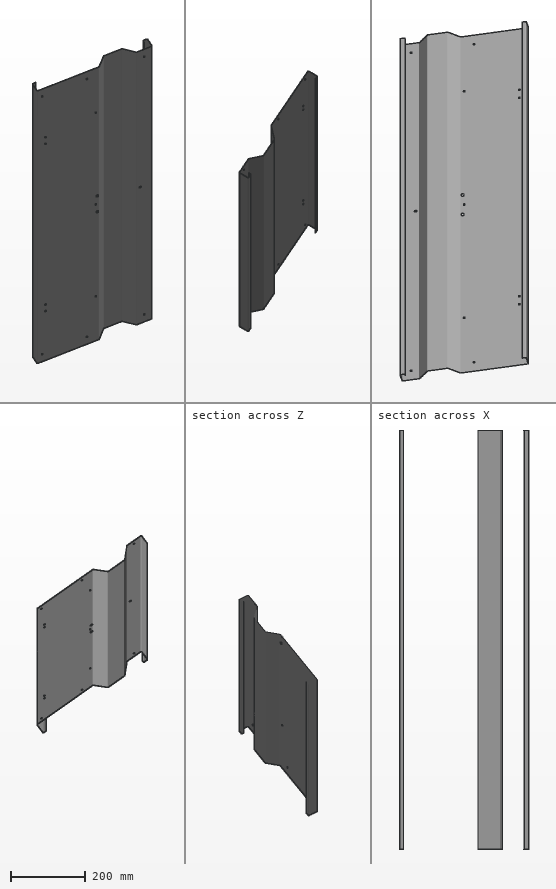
import cadquery as cq
import math

length = 1129.0
width = 350.0
depth = 30.0
sheet = 1.6
inner_radius = 1.2
outer_radius = inner_radius + sheet

upper_lip = 15.0
upper_return = 8.0
lower_lip = 11.0

crest_high = 98.0
crest_low = 42.0

small_diameter = 5.0
large_diameter = 8.0
slot_length = 7.0
end_hole_ys = (150.0, -24.0, -159.0)
end_hole_z = 534.0
rib_side_y = 3.0
rib_side_z = 380.0
pair_y = -149.0
pair_zs = (333.0, 360.0)
large_y = 8.0
large_z = 33.0
slot_y = 138.0
cut_depth = 3 * sheet

front = -depth / 2
back = depth / 2
top = width / 2
bottom = -width / 2
inner_front = front + sheet
inner_back = back - sheet
inner_top = top - sheet
inner_bottom = bottom + sheet

return_y = top - upper_lip
return_end = front + upper_return
lower_lip_end = bottom + lower_lip

flank_run = inner_back - front
foot_high = crest_high + flank_run
foot_low = crest_low - flank_run
corner_shift = sheet * math.tan(math.radians(22.5))


def folded_sheet():
    """Constant-thickness sheet: a sharp outline with both sides of each bend rounded."""
    upper_inner = [
        (inner_front, return_y + sheet),
        (inner_front, inner_top),
        (inner_back, inner_top),
        (inner_back, foot_high),
    ]
    crest_outer = [(front, crest_high), (front, crest_low)]
    lower_inner = [
        (inner_back, foot_low),
        (inner_back, inner_bottom),
        (inner_front, inner_bottom),
    ]
    lower_outer = [
        (front, bottom),
        (back, bottom),
        (back, foot_low + corner_shift),
    ]
    crest_inner = [
        (inner_front, crest_low + corner_shift),
        (inner_front, crest_high - corner_shift),
    ]
    upper_outer = [
        (back, foot_high - corner_shift),
        (back, top),
        (front, top),
        (front, return_y),
    ]

    outline = (
        [(return_end, return_y + sheet)]
        + upper_inner + crest_outer + lower_inner
        + [(inner_front, lower_lip_end), (front, lower_lip_end)]
        + lower_outer + crest_inner + upper_outer
        + [(return_end, return_y)]
    )
    body = cq.Workplane("XY").polyline(outline).close().extrude(length / 2, both=True)
    body = round_bends(body, upper_inner + crest_inner + lower_inner, inner_radius)
    return round_bends(body, upper_outer + crest_outer + lower_outer, outer_radius)


def round_bends(body, corners, radius):
    """Fillet the lengthwise edge standing on each profile corner."""
    for x, y in corners:
        edge_middle = cq.selectors.NearestToPointSelector((x, y, 0))
        body = body.edges("|Z").edges(edge_middle).fillet(radius)
    return body


def back_wall_plane():
    """Sketch plane in Y and Z, one sheet thickness in front of the back wall."""
    return cq.Workplane("YZ", origin=(inner_back - sheet, 0, 0))


def round_cutters(centres, diameter):
    return back_wall_plane().pushPoints(centres).circle(diameter / 2).extrude(cut_depth)


def slot_cutter():
    return back_wall_plane().center(slot_y, 0).slot2D(slot_length, small_diameter).extrude(cut_depth)


small_centres = [(rib_side_y, 0)]
large_centres = []
for side in (1, -1):
    small_centres += [(y, side * end_hole_z) for y in end_hole_ys]
    small_centres += [(pair_y, side * z) for z in pair_zs]
    small_centres.append((rib_side_y, side * rib_side_z))
    large_centres.append((large_y, side * large_z))

result = (
    folded_sheet()
    .cut(round_cutters(small_centres, small_diameter))
    .cut(round_cutters(large_centres, large_diameter))
    .cut(slot_cutter())
)